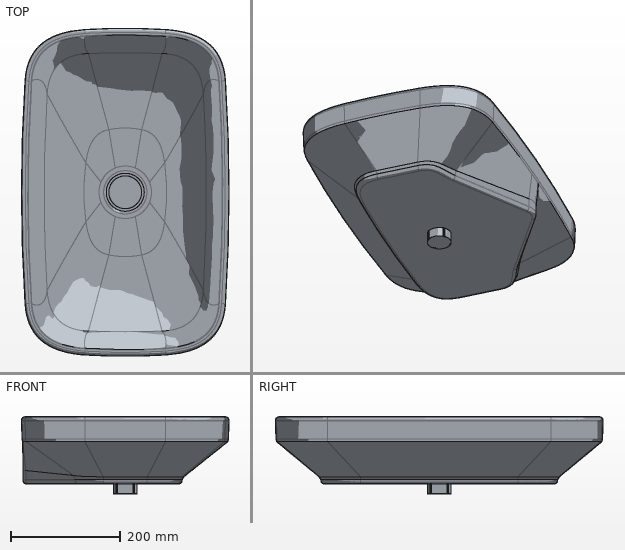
import cadquery as cq
import math


basin_height = 123.0
rim_width = 379.5
rim_length = 600.0
rim_corner_x = 74.0
rim_corner_y = 204.0
rim_side_bulge = 6.5
rim_end_bulge = 2.5
band_bottom_z = 82.0
band_taper = 1.0
rim_round = 7.0
rim_upright = 0.5
lip_round = 3.0

skirt_top_z = 77.5
skirt_inset = 2.5
spine_half_width = 17.5
spine_tip_x = -187.0
spine_depth = 5.5
wing_end_x = -92.0
wing_end_y = 162.0
foot_end_x = 40.0
foot_half_y = 216.5
foot_right_x = 104.5
foot_right_y = 144.0
foot_right_bulge = 3.5
foot_wall_z = 8.0
foot_round = 7.0
neck_flare = 3.0
neck_z = 13.0
neck_wing_z = 15.5
neck_spine_z = 24.5

floor_outline = (75.5, 117.5, 30.0, 54.0, 3.5, 3.0)
floor_z = 27.5
wall_middle_outline = (115.0, 195.0, 51.0, 120.0, 5.0, 2.5)
wall_middle_z = 53.0
wall_outline = (148.0, 255.0, 67.0, 179.5, 5.5, 1.0)
wall_z = 95.5
lip_middle_inset = 29.5
lip_middle_z = 113.5
lip_inset = 12.0
bowl_floor_z = 22.0
drain_dip_radius = 48.0

drain_top_z = 18.5
drain_flange_radius = 35.0
seat_z = drain_top_z - 5.0
drain_dip_mid_radius = 39.5
drain_dip_mid_z = 20.5
pipe_radius = 44.0 / 2
pipe_bottom_z = -18.0
groove_floor_radius = 42.0 / 2
groove_width = 3.0
groove_count = 4
plug_radius = 30.0
plug_edge_height = 2.5
plug_dome_height = 5.0


def arc_sample(chord_half, bulge, offset):
    """Height above the chord of an arc with the given rise, at a distance from its middle."""
    radius = (chord_half ** 2 + bulge ** 2) / (2 * bulge)
    return bulge - radius + math.sqrt(radius ** 2 - offset ** 2)


def arc_end_angle(chord_half, bulge):
    """Angle between an arc and its chord at the arc's ends."""
    return 2 * math.atan2(bulge, chord_half)


def direction(angle):
    return cq.Vector(math.cos(angle), math.sin(angle), 0)


def corner_edge(start, start_direction, end, end_direction):
    return cq.Edge.makeSpline([start, end], tangents=[start_direction, end_direction])


def oval_wire(half_x, half_y, corner_x, corner_y, side_bulge, end_bulge, z, split_left=False):
    """Rounded rectangle with bulging sides, counter-clockwise from the -X side.

    With split_left the -X side is three edges, so that its middle matches the foot spine.
    """
    side_x = half_x - side_bulge
    end_y = half_y - end_bulge
    lean = arc_end_angle(corner_y, side_bulge)
    droop = arc_end_angle(corner_x, end_bulge)

    def left_point(y):
        return cq.Vector(-side_x - arc_sample(corner_y, side_bulge, y), y, z)

    def left_arc(y_start, y_end):
        return cq.Edge.makeThreePointArc(
            left_point(y_start), left_point((y_start + y_end) / 2), left_point(y_end))

    left_low = cq.Vector(-side_x, -corner_y, z)
    front_left = cq.Vector(-corner_x, -end_y, z)
    front_right = cq.Vector(corner_x, -end_y, z)
    right_low = cq.Vector(side_x, -corner_y, z)
    right_high = cq.Vector(side_x, corner_y, z)
    back_right = cq.Vector(corner_x, end_y, z)
    back_left = cq.Vector(-corner_x, end_y, z)
    left_high = cq.Vector(-side_x, corner_y, z)
    quarter = math.pi / 2

    if split_left:
        stops = [corner_y, spine_half_width, -spine_half_width, -corner_y]
    else:
        stops = [corner_y, -corner_y]
    left_edges = [left_arc(a, b) for a, b in zip(stops, stops[1:])]

    return cq.Wire.assembleEdges(left_edges + [
        corner_edge(left_low, direction(-quarter + lean), front_left, direction(-droop)),
        cq.Edge.makeThreePointArc(front_left, cq.Vector(0, -half_y, z), front_right),
        corner_edge(front_right, direction(droop), right_low, direction(quarter - lean)),
        cq.Edge.makeThreePointArc(right_low, cq.Vector(half_x, 0, z), right_high),
        corner_edge(right_high, direction(quarter + lean), back_right, direction(2 * quarter - droop)),
        cq.Edge.makeThreePointArc(back_right, cq.Vector(0, half_y, z), back_left),
        corner_edge(back_left, direction(2 * quarter + droop), left_high, direction(3 * quarter - lean)),
    ])


def rim_wire(inset, z, split_left=False):
    return oval_wire(rim_width / 2 - inset, rim_length / 2 - inset, rim_corner_x, rim_corner_y,
                     rim_side_bulge, rim_end_bulge, z, split_left)


def foot_wire(grow, z, wing_z, spine_z):
    """Foot outline with a narrow rounded spine at -X, its edges matching the split rim outline."""
    tip = cq.Vector(spine_tip_x, 0, spine_z)
    root_x = spine_tip_x + spine_depth
    spine_high = cq.Vector(root_x, spine_half_width, spine_z)
    spine_low = cq.Vector(root_x, -spine_half_width, spine_z)
    wing_x = wing_end_x - grow
    wing_y = wing_end_y + grow
    wing_high = cq.Vector(wing_x, wing_y, wing_z)
    wing_low = cq.Vector(wing_x, -wing_y, wing_z)
    end_y = foot_half_y + grow
    front_left = cq.Vector(-foot_end_x, -end_y, z)
    front_right = cq.Vector(foot_end_x, -end_y, z)
    back_left = cq.Vector(-foot_end_x, end_y, z)
    back_right = cq.Vector(foot_end_x, end_y, z)
    right_x = foot_right_x + grow
    right_low = cq.Vector(right_x - foot_right_bulge, -foot_right_y, z)
    right_high = cq.Vector(right_x - foot_right_bulge, foot_right_y, z)
    lean = arc_end_angle(foot_right_y, foot_right_bulge)
    plus_x = cq.Vector(1, 0, 0)
    minus_x = cq.Vector(-1, 0, 0)
    quarter = math.pi / 2

    return cq.Wire.assembleEdges([
        cq.Edge.makeLine(wing_high, spine_high),
        cq.Edge.makeThreePointArc(spine_high, tip, spine_low),
        cq.Edge.makeLine(spine_low, wing_low),
        corner_edge(wing_low, wing_low - spine_low, front_left, plus_x),
        cq.Edge.makeLine(front_left, front_right),
        corner_edge(front_right, plus_x, right_low, direction(quarter - lean)),
        cq.Edge.makeThreePointArc(right_low, cq.Vector(right_x, 0, z), right_high),
        corner_edge(right_high, direction(quarter + lean), back_right, minus_x),
        cq.Edge.makeLine(back_right, back_left),
        corner_edge(back_left, minus_x, wing_high, spine_high - wing_high),
    ])


def make_rim_band():
    upright_z = basin_height - rim_round - rim_upright
    band = cq.Workplane(cq.Solid.makeLoft(
        [rim_wire(band_taper, band_bottom_z), rim_wire(0, upright_z), rim_wire(0, basin_height)],
        True))
    return band.faces(">Z").edges().fillet(rim_round)


def make_underside():
    underside = cq.Workplane(cq.Solid.makeLoft([
        foot_wire(0, 0, 0, 0),
        foot_wire(0, foot_wall_z, foot_wall_z, foot_wall_z),
        foot_wire(neck_flare, neck_z, neck_wing_z, neck_spine_z),
        rim_wire(skirt_inset, skirt_top_z, True),
        rim_wire(band_taper, band_bottom_z, True),
    ], True))
    return underside.faces("<Z").edges().fillet(foot_round)


def make_bowl_voids():
    """Hollows of the bowl: floor round the drain, concave wall and convex lip."""
    octant = math.pi / 8
    circle_corner = drain_dip_radius * math.sin(octant)
    circle_bulge = drain_dip_radius * (1 - math.cos(octant))
    dip = oval_wire(drain_dip_radius, drain_dip_radius, circle_corner, circle_corner,
                    circle_bulge, circle_bulge, bowl_floor_z)
    floor = oval_wire(*floor_outline, floor_z)
    wall_middle = oval_wire(*wall_middle_outline, wall_middle_z)
    wall = oval_wire(*wall_outline, wall_z)
    lip_middle = rim_wire(lip_middle_inset, lip_middle_z)
    lip = rim_wire(lip_inset, basin_height)
    return [
        cq.Workplane(cq.Solid.makeLoft(wires, False))
        for wires in ([dip, floor], [floor, wall_middle, wall], [wall, lip_middle, lip])
    ]


def revolve(points):
    return cq.Workplane("XZ").polyline(points).close().revolve(360, (0, 0, 0), (0, 1, 0))


def make_drain_void():
    """Dip round the drain, seat for its flange and hole for its pipe."""
    return revolve([
        (0, bowl_floor_z), (drain_dip_radius, bowl_floor_z),
        (drain_dip_mid_radius, drain_dip_mid_z), (drain_flange_radius, drain_top_z),
        (drain_flange_radius, seat_z), (pipe_radius, seat_z), (pipe_radius, 0), (0, 0),
    ])


def make_basin():
    basin = make_underside().union(make_rim_band())
    for void in make_bowl_voids():
        basin = basin.cut(void)
    lip_edge = basin.faces(">Z").val().innerWires()[0]
    basin = basin.newObject(lip_edge.Edges()).fillet(lip_round)
    return basin.cut(make_drain_void())


def make_drain():
    """Drain flange on a pipe with shallow lengthwise grooves."""
    drain = revolve([
        (0, drain_top_z), (drain_flange_radius, drain_top_z), (drain_flange_radius, seat_z),
        (pipe_radius, seat_z), (pipe_radius, pipe_bottom_z), (0, pipe_bottom_z),
    ])
    groove = cq.Workplane("XY").box(
        pipe_radius, groove_width, seat_z - pipe_bottom_z, centered=(False, True, False)
    ).translate((groove_floor_radius, 0, pipe_bottom_z))
    for index in range(groove_count):
        angle = (index + 0.5) * 360 / groove_count
        drain = drain.cut(groove.rotate((0, 0, 0), (0, 0, 1), angle))
    return drain


def make_plug():
    edge_z = drain_top_z + plug_edge_height
    top_z = edge_z + plug_dome_height
    middle = plug_radius / 2
    dome_middle = (middle, edge_z + arc_sample(plug_radius, plug_dome_height, middle))
    return (
        cq.Workplane("XZ")
        .moveTo(0, drain_top_z)
        .lineTo(plug_radius, drain_top_z)
        .lineTo(plug_radius, edge_z)
        .threePointArc(dome_middle, (0, top_z))
        .close()
        .revolve(360, (0, 0, 0), (0, 1, 0))
    )


basin = make_basin()
drain = make_drain()
plug = make_plug()

result = cq.Compound.makeCompound([basin.val(), drain.val(), plug.val()])